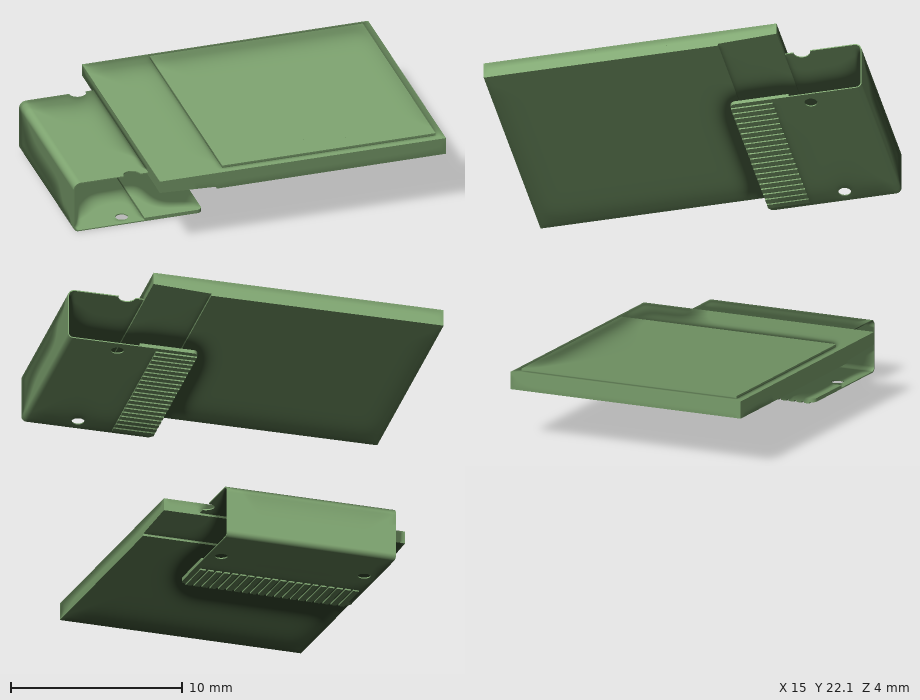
import cadquery as cq


module_width = 15.0
module_length = 17.5
ledge_length = 3.49
panel_length = module_length - ledge_length
panel_centre_y = ledge_length + panel_length / 2

backlight_thickness = 0.5
substrate_thickness = 0.38
cover_thickness = 0.15
polarizer_thickness = 0.15
substrate_z = backlight_thickness
cover_z = substrate_z + substrate_thickness
polarizer_z = cover_z + cover_thickness
module_top_z = polarizer_z + polarizer_thickness

ledge_front_depth = 0.75
ledge_rear_depth = 0.9

polarizer_width = 14.0
polarizer_length = 13.05
polarizer_back_inset = 0.49
polarizer_centre_y = module_length - polarizer_back_inset - polarizer_length / 2
frame_size = 11.8
active_size = 10.75
active_centre_y = 10.58

overall_length = 22.08
overall_height = 4.0
flex_width = 10.5
flex_thickness = 0.07
flex_front_y = module_length - overall_length
flex_end_y = 3.31
flex_top_z = 0.49
upper_bend_radius = 0.45
lower_bend_radius = 0.3
flex_end_corner_radius = 0.3

notch_radius = 0.5
notch_y = -1.0

locating_hole_diameter = 0.75
locating_hole_edge_distance = 0.82
locating_hole_y = -1.37

pad_count = 20
pad_row_width = 9.85
pad_width = 0.35
pad_pitch = (pad_row_width - pad_width) / (pad_count - 1)
pad_length = 2.5
pad_thickness = 0.09
pad_bottom_z = module_top_z - overall_height
flex_bottom_z = pad_bottom_z + pad_thickness

stiffener_length = 3.53
stiffener_thickness = 0.15


def block(width, length, thickness, centre_y, bottom_z):
    """A plate centred in X, standing on bottom_z."""
    return (
        cq.Workplane("XY", origin=(0, centre_y, bottom_z))
        .rect(width, length)
        .extrude(thickness)
    )


def side_extrusion(points, width):
    """Extrude a (Y, Z) outline along X, centred on X = 0."""
    return cq.Workplane("YZ").polyline(points).close().extrude(width / 2, both=True)


def make_backlight():
    return block(module_width, panel_length, backlight_thickness, panel_centre_y, 0)


def make_substrate():
    """Flat plate under the cover that thickens into the tapered ledge at the front."""
    outline = [
        (module_length, substrate_z),
        (module_length, cover_z),
        (ledge_length, cover_z),
        (ledge_length, polarizer_z),
        (0, polarizer_z),
        (0, polarizer_z - ledge_front_depth),
        (ledge_length, polarizer_z - ledge_rear_depth),
        (ledge_length, substrate_z),
    ]
    return side_extrusion(outline, module_width)


def make_cover():
    return block(module_width, panel_length, cover_thickness, panel_centre_y, cover_z)


def make_square_layer(size):
    """A square plate of the polarizer's thickness, level with it."""
    return block(size, size, polarizer_thickness, active_centre_y, polarizer_z)


def make_polarizer():
    sheet = block(
        polarizer_width, polarizer_length, polarizer_thickness, polarizer_centre_y, polarizer_z
    )
    return sheet.cut(make_square_layer(frame_size))


def make_frame():
    return make_square_layer(frame_size).cut(make_square_layer(active_size))


def make_active_area():
    return make_square_layer(active_size)


def bend(flex, y, z, radius):
    """Round the flex edge that runs along X through (y, z)."""
    edge = cq.selectors.NearestToPointSelector((0, y, z))
    return flex.edges(edge).fillet(radius)


def make_flex_strip():
    """U-shaped strip with rounded bends, from the ledge round to the contact end."""
    inner_front_y = flex_front_y + flex_thickness
    upper_inner_z = flex_top_z - flex_thickness
    lower_inner_z = flex_bottom_z + flex_thickness
    strip = side_extrusion(
        [
            (0, flex_top_z),
            (flex_front_y, flex_top_z),
            (flex_front_y, flex_bottom_z),
            (flex_end_y, flex_bottom_z),
            (flex_end_y, lower_inner_z),
            (inner_front_y, lower_inner_z),
            (inner_front_y, upper_inner_z),
            (0, upper_inner_z),
        ],
        flex_width,
    )
    strip = bend(strip, flex_front_y, flex_top_z, upper_bend_radius)
    strip = bend(strip, inner_front_y, upper_inner_z, upper_bend_radius - flex_thickness)
    strip = bend(strip, flex_front_y, flex_bottom_z, lower_bend_radius)
    strip = bend(strip, inner_front_y, lower_inner_z, lower_bend_radius - flex_thickness)
    return strip.edges("|Z and >Y").fillet(flex_end_corner_radius)


def make_notches():
    """Cutters for the half-round notches in both side edges of the upper run."""
    return (
        cq.Workplane("XY", origin=(0, notch_y, flex_top_z))
        .pushPoints([(-flex_width / 2, 0), (flex_width / 2, 0)])
        .circle(notch_radius)
        .extrude(-flex_thickness)
    )


def make_locating_holes():
    """Cutters for the two holes in the lower run."""
    hole_x = flex_width / 2 - locating_hole_edge_distance
    return (
        cq.Workplane("XY", origin=(0, locating_hole_y, flex_bottom_z))
        .pushPoints([(-hole_x, 0), (hole_x, 0)])
        .circle(locating_hole_diameter / 2)
        .extrude(flex_thickness)
    )


def make_pads():
    """Row of contact pads on the underside, flush with the flex end."""
    return (
        cq.Workplane("XY", origin=(0, flex_end_y - pad_length / 2, pad_bottom_z))
        .rarray(pad_pitch, 0.22, pad_count, 1)
        .rect(pad_width, pad_length)
        .extrude(pad_thickness)
    )


def make_flex():
    """Flex circuit with its contact pads as one solid."""
    return make_flex_strip().cut(make_notches()).cut(make_locating_holes()).union(make_pads())


def make_stiffener():
    centre_y = flex_end_y - stiffener_length / 2
    bottom_z = flex_bottom_z + flex_thickness
    plate = block(flex_width, stiffener_length, stiffener_thickness, centre_y, bottom_z)
    return plate.edges("|Z and >Y").fillet(flex_end_corner_radius)


backlight = make_backlight()
substrate = make_substrate()
cover = make_cover()
polarizer = make_polarizer()
frame = make_frame()
active_area = make_active_area()
flex = make_flex()
stiffener = make_stiffener()

result = cq.Compound.makeCompound(
    [
        backlight.val(),
        substrate.val(),
        cover.val(),
        polarizer.val(),
        frame.val(),
        active_area.val(),
        flex.val(),
        stiffener.val(),
    ]
)